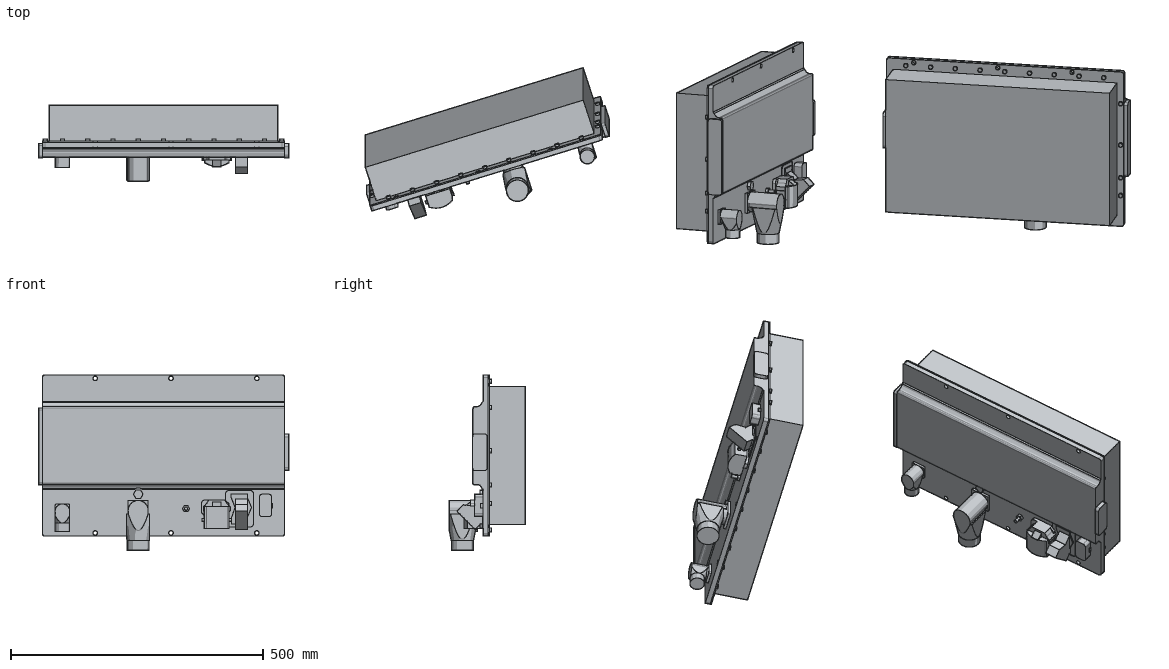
import cadquery as cq
import math


PLATE_WIDTH = 480.0
PLATE_HEIGHT = 320.0
PLATE_DEPTH = 10.0
PLATE_CORNER = 5.0
PLATE_FRONT = -PLATE_DEPTH

BULGE_BOTTOM = 102.5
BULGE_TOP = 257.0
BULGE_FRONT = -30.0
BULGE_ROUND = 2.5
COVE_DEPTH = 11.0
COVE_RISE = 8.0
COVE_FOOT = 2.5

MOUNT_HOLE_DIAMETER = 8.5
MOUNT_HOLE_X = (-135.5, 15.0, 185.0)
MOUNT_HOLE_Z = (6.5, 313.0)

PAD_LEFT = 123.0
PAD_RIGHT = 178.5
PAD_BOTTOM = 18.5
PAD_TOP = 91.0
PAD_CORNER = 7.0
PAD_HEIGHT = 1.5
PAD_FRONT = PLATE_FRONT - PAD_HEIGHT

STUD_X = 44.5
STUD_Z = 54.5
STUD_NUT_DIAMETER = 14.0
STUD_NUT_HEIGHT = 5.0
STUD_DIAMETER = 6.5
STUD_LENGTH = 17.0

PLUG_X = -50.0
PLUG_Z = 83.5
PLUG_DIAMETER = 19.0
PLUG_HEIGHT = 6.5
SPOTFACE_DIAMETER = 25.0

SHEET_THICKNESS = 2.5
BOX_WIDTH = 453.5
BOX_BOTTOM = 23.0
BOX_TOP = 297.0
BOX_BACK = 74.0
SCREW_DIAMETER = 8.5
SCREW_HEIGHT = 4.5
SCREW_ROW_PITCH = 50.0
SCREW_ROW_HALF_COUNT = 4
SCREW_ROW_Z = (12.5, 307.0)
SCREW_COLUMN_X = 234.5
SCREW_COLUMN_Z = (65.0, 101.5, 169.5, 255.0)

SIDE_COVER_BACK = -2.0
SIDE_COVER_FRONT = -31.0
LEFT_COVER_THICKNESS = 7.5
LEFT_COVER_Z = (101.5, 254.5)
LEFT_COVER_CORNER = 4.5
RIGHT_COVER_THICKNESS = 8.5
RIGHT_COVER_Z = (130.0, 203.0)
RIGHT_COVER_CORNER = 6.0

CAP_LEFT = 190.0
CAP_RIGHT = 214.5
CAP_BOTTOM = 38.5
CAP_TOP = 83.5
CAP_CORNER = 6.0
CAP_HEIGHT = 17.0
CAP_LUG_BOTTOM = 55.5
CAP_LUG_TOP = 65.0
CAP_LUG_REACH = 1.5
CAP_LUG_HEIGHT = 5.0

ELBOW_FLANGE_HEIGHT = 5.0

ROUND_X = 105.5
ROUND_TOP = 72.0
ROUND_FLANGE_HEIGHT = 6.5
ROUND_FLANGE_LEFT = 75.5
ROUND_FLANGE_TOP_LEFT = 82.5
ROUND_FLANGE_BOTTOM = 15.5
ROUND_FLANGE_TIP_HALF_WIDTH = 5.5
ROUND_FLANGE_SHOULDER_LEFT = 47.0
ROUND_FLANGE_SHOULDER_RIGHT = 40.5
BLOCK_FRONT = -35.0
BLOCK_TOP_HALF_WIDTH = 16.0
BLOCK_NECK_HALF_WIDTH = 20.5
BLOCK_NECK_Z = 64.5
BLOCK_HALF_WIDTH = 27.0
BLOCK_SIDE_Z = (50.5, 58.0)
BLOCK_BOTTOM = 48.5
SHELL_BOTTOM = 15.0
SHELL_TOP = 58.5
SHELL_BACK = -16.5
SHELL_LEFT_HALF_WIDTH = 26.0
SHELL_HALF_WIDTH = 24.5
SHELL_SHOULDER = -40.5
SHELL_ARC_HALF_WIDTH = 21.0
SHELL_ARC_START = -42.0
SHELL_FRONT = -48.0
TAB_WIDTH = 16.5
TAB_TOP = 67.5
TAB_FRONT = -48.5
PIN_REACH = 29.5
PIN_DIAMETER = 6.5
PIN_Y = -32.5
PIN_Z = 32.0

ANGLED_FLANGE_HEIGHT = 3.0
ANGLED_FLANGE_OUTLINE = [
    (135.0, 24.0), (135.0, 37.0), (142.0, 57.0), (134.0, 77.5), (134.0, 84.0),
    (166.5, 84.0), (166.5, 75.5), (174.5, 57.0), (166.5, 38.5), (166.5, 24.0),
]
ANGLED_LEFT = 142.5
ANGLED_RIGHT = 166.5
ANGLED_TOP = 73.5
ANGLED_SHOULDER_Y = -14.5
ANGLED_VALLEY = (-28.5, 59.5)
ANGLED_UPPER_LIP = (-49.0, 62.5)
ANGLED_LOWER_LIP = (-62.0, 49.5)
ANGLED_HEEL = (-26.0, 13.5)
ANGLED_BACK_BOTTOM = 28.0


def front_plane(y):
    """Plane at the given Y with local x = X and local y = Z; extrudes toward -Y."""
    return cq.Workplane("XZ", origin=(0, y, 0))


def block(x_range, y_range, z_range):
    """Box spanning three (low, high) coordinate ranges."""
    low, high = zip(x_range, y_range, z_range)
    size = [end - start for start, end in zip(low, high)]
    return cq.Workplane("XY", origin=low).box(*size, centered=False)


def rounded_plate(x_range, y_range, z_range, corner):
    """Block whose four edges along Y are rounded."""
    return block(x_range, y_range, z_range).edges("|Y").fillet(corner)


def plate_blank(y_range):
    """Slab with the full outline of the enclosure plate."""
    half_width = PLATE_WIDTH / 2
    return rounded_plate((-half_width, half_width), y_range, (0, PLATE_HEIGHT), PLATE_CORNER)


def drill_mount_holes(body):
    """Cut the mounting holes along the top and bottom edges, right through in Y."""
    points = [(x, z) for x in MOUNT_HOLE_X for z in MOUNT_HOLE_Z]
    drills = front_plane(BOX_BACK).pushPoints(points).circle(MOUNT_HOLE_DIAMETER / 2)
    return body.cut(drills.extrude(BOX_BACK - BULGE_FRONT))


def make_bulge():
    """Raised band across the plate, blended into it by a cove and a small bevel at each edge."""
    cove_y = PLATE_FRONT - COVE_FOOT
    crest_y = cove_y - COVE_DEPTH
    radius = (COVE_DEPTH ** 2 + COVE_RISE ** 2) / (2 * COVE_RISE)
    half_angle = math.asin(COVE_DEPTH / radius) / 2
    middle_y = crest_y + radius * math.sin(half_angle)
    middle_rise = radius * (1 - math.cos(half_angle))
    profile = (
        cq.Workplane("YZ", origin=(-PLATE_WIDTH / 2, 0, 0))
        .moveTo(PLATE_FRONT, BULGE_BOTTOM - COVE_RISE - COVE_FOOT)
        .lineTo(cove_y, BULGE_BOTTOM - COVE_RISE)
        .threePointArc((middle_y, BULGE_BOTTOM - middle_rise), (crest_y, BULGE_BOTTOM))
        .lineTo(BULGE_FRONT, BULGE_BOTTOM)
        .lineTo(BULGE_FRONT, BULGE_TOP)
        .lineTo(crest_y, BULGE_TOP)
        .threePointArc((middle_y, BULGE_TOP + middle_rise), (cove_y, BULGE_TOP + COVE_RISE))
        .lineTo(PLATE_FRONT, BULGE_TOP + COVE_RISE + COVE_FOOT)
        .close()
    )
    return profile.extrude(PLATE_WIDTH).faces("<Y").edges("|X").fillet(BULGE_ROUND)


def make_pad():
    """Low rounded pad under the angled connector."""
    return rounded_plate(
        (PAD_LEFT, PAD_RIGHT), (PAD_FRONT, PLATE_FRONT), (PAD_BOTTOM, PAD_TOP), PAD_CORNER
    )


def make_ground_stud():
    """Hexagonal nut with a threaded end standing out of it."""
    base = front_plane(PLATE_FRONT).center(STUD_X, STUD_Z)
    nut = base.polygon(6, STUD_NUT_DIAMETER).extrude(STUD_NUT_HEIGHT)
    return nut.union(base.circle(STUD_DIAMETER / 2).extrude(STUD_LENGTH))


def make_housing():
    body = plate_blank((PLATE_FRONT, 0)).union(make_bulge())
    spotface = front_plane(PLATE_FRONT).center(PLUG_X, PLUG_Z).circle(SPOTFACE_DIAMETER / 2)
    body = body.cut(spotface.extrude(PLATE_FRONT - BULGE_FRONT))
    body = body.union(make_pad()).union(make_ground_stud())
    return drill_mount_holes(body)


def make_rear_cover():
    half_box = BOX_WIDTH / 2
    box = block((-half_box, half_box), (SHEET_THICKNESS, BOX_BACK), (BOX_BOTTOM, BOX_TOP))
    row = range(-SCREW_ROW_HALF_COUNT, SCREW_ROW_HALF_COUNT + 1)
    screws = [(i * SCREW_ROW_PITCH, z) for i in row for z in SCREW_ROW_Z]
    screws += [(side * SCREW_COLUMN_X, z) for side in (-1, 1) for z in SCREW_COLUMN_Z]
    heads = (
        front_plane(SHEET_THICKNESS).pushPoints(screws).circle(SCREW_DIAMETER / 2).extrude(-SCREW_HEIGHT)
    )
    cover = plate_blank((0, SHEET_THICKNESS)).union(box).union(heads)
    return drill_mount_holes(cover)


def make_side_cover(x_range, z_range, corner):
    """Cover plate on one end of the housing, rounded at its four corners."""
    return block(x_range, (SIDE_COVER_FRONT, SIDE_COVER_BACK), z_range).edges("|X").fillet(corner)


def make_left_cover():
    inner = -PLATE_WIDTH / 2
    return make_side_cover((inner - LEFT_COVER_THICKNESS, inner), LEFT_COVER_Z, LEFT_COVER_CORNER)


def make_right_cover():
    inner = PLATE_WIDTH / 2
    return make_side_cover((inner, inner + RIGHT_COVER_THICKNESS), RIGHT_COVER_Z, RIGHT_COVER_CORNER)


def make_elbow(x, axis_z, barrel_radius, half_width, front, outlet_y, outlet_radius, outlet_bottom,
               cone_bottom, cone_top, cone_bottom_radius, cone_slope, flange_corner):
    """Square flange and barrel along Y, turning down through a trimmed cone into a round outlet."""
    flange_front = PLATE_FRONT - ELBOW_FLANGE_HEIGHT
    flange = rounded_plate(
        (x - barrel_radius, x + barrel_radius),
        (flange_front, PLATE_FRONT),
        (axis_z - barrel_radius, axis_z + barrel_radius),
        flange_corner,
    )
    cone_height = cone_top - cone_bottom
    top_radius = cone_bottom_radius + cone_slope * cone_height
    cone = cq.Workplane(cq.Solid.makeCone(
        cone_bottom_radius, top_radius, cone_height, pnt=cq.Vector(x, outlet_y, cone_bottom)
    ))
    cone = cone.intersect(block(
        (x - half_width, x + half_width), (front, flange_front), (cone_bottom, cone_top)
    ))
    barrel = front_plane(flange_front).center(x, axis_z).circle(barrel_radius)
    outlet = cq.Workplane("XY", origin=(x, outlet_y, outlet_bottom)).circle(outlet_radius)
    elbow = cone.union(outlet.extrude(cone_bottom - outlet_bottom))
    if axis_z > cone_top:
        neck_back = min(flange_front, outlet_y + top_radius)
        elbow = elbow.union(block(
            (x - barrel_radius, x + barrel_radius), (front, neck_back), (cone_top, axis_z)
        ))
    return elbow.union(barrel.extrude(flange_front - front)).union(flange)


def make_small_elbow():
    return make_elbow(
        x=-200.5, axis_z=49.5, barrel_radius=14.5, half_width=14.5, front=-50.0,
        outlet_y=-35.5, outlet_radius=14.5, outlet_bottom=9.0,
        cone_bottom=26.0, cone_top=49.5, cone_bottom_radius=14.5, cone_slope=0.4, flange_corner=3.0,
    )


def make_large_elbow():
    return make_elbow(
        x=-50.0, axis_z=51.0, barrel_radius=20.0, half_width=23.0, front=-77.5,
        outlet_y=-51.0, outlet_radius=22.0, outlet_bottom=-28.5,
        cone_bottom=-8.5, cone_top=44.0, cone_bottom_radius=22.5, cone_slope=0.2, flange_corner=0.5,
    )


def make_plug():
    return front_plane(PLATE_FRONT).center(PLUG_X, PLUG_Z).polygon(6, PLUG_DIAMETER).extrude(PLUG_HEIGHT)


def make_cap():
    """Rounded block with a small lug on its right-hand side."""
    cap = rounded_plate(
        (CAP_LEFT, CAP_RIGHT), (PLATE_FRONT - CAP_HEIGHT, PLATE_FRONT), (CAP_BOTTOM, CAP_TOP), CAP_CORNER
    )
    lug = block(
        (CAP_RIGHT - CAP_LUG_REACH, CAP_RIGHT + CAP_LUG_REACH),
        (PLATE_FRONT - CAP_LUG_HEIGHT, PLATE_FRONT),
        (CAP_LUG_BOTTOM, CAP_LUG_TOP),
    )
    return cap.union(lug)


def make_round_flange():
    """Base flange, rounded at its upper left corner and tapering downward to a narrow tip."""
    right = ROUND_X + SHELL_HALF_WIDTH
    corner = ROUND_FLANGE_TOP_LEFT - ROUND_FLANGE_LEFT
    inset = corner * (1 - math.sqrt(0.5))
    outline = (
        front_plane(PLATE_FRONT)
        .moveTo(ROUND_X - ROUND_FLANGE_TIP_HALF_WIDTH, ROUND_FLANGE_BOTTOM)
        .lineTo(ROUND_FLANGE_LEFT, ROUND_FLANGE_SHOULDER_LEFT)
        .lineTo(ROUND_FLANGE_LEFT, ROUND_TOP - corner)
        .threePointArc(
            (ROUND_FLANGE_LEFT + inset, ROUND_TOP - inset), (ROUND_FLANGE_TOP_LEFT, ROUND_TOP)
        )
        .lineTo(ROUND_X + BLOCK_TOP_HALF_WIDTH, ROUND_TOP)
        .lineTo(right, BLOCK_NECK_Z)
        .lineTo(right, ROUND_FLANGE_SHOULDER_RIGHT)
        .lineTo(ROUND_X + ROUND_FLANGE_TIP_HALF_WIDTH, ROUND_FLANGE_BOTTOM)
        .close()
    )
    return outline.extrude(ROUND_FLANGE_HEIGHT)


def make_round_block():
    """Shouldered block over the shell, symmetric about the connector's axis."""
    side_bottom, side_top = BLOCK_SIDE_Z
    right_side = [
        (BLOCK_TOP_HALF_WIDTH, ROUND_TOP),
        (BLOCK_NECK_HALF_WIDTH, BLOCK_NECK_Z),
        (BLOCK_HALF_WIDTH, side_top),
        (BLOCK_HALF_WIDTH, side_bottom),
        (SHELL_HALF_WIDTH, BLOCK_BOTTOM),
    ]
    left_side = [(-x, z) for x, z in reversed(right_side)]
    outline = front_plane(PLATE_FRONT).center(ROUND_X, 0).polyline(right_side + left_side).close()
    return outline.extrude(PLATE_FRONT - BLOCK_FRONT)


def make_round_shell():
    """D-shaped shell with a bowed front, standing clear of the plate."""
    outline = (
        cq.Workplane("XY", origin=(ROUND_X, 0, SHELL_BOTTOM))
        .moveTo(-SHELL_LEFT_HALF_WIDTH, SHELL_BACK)
        .lineTo(-SHELL_LEFT_HALF_WIDTH, BLOCK_FRONT)
        .lineTo(-SHELL_HALF_WIDTH, BLOCK_FRONT)
        .lineTo(-SHELL_HALF_WIDTH, SHELL_SHOULDER)
        .lineTo(-SHELL_ARC_HALF_WIDTH, SHELL_ARC_START)
        .threePointArc((0, SHELL_FRONT), (SHELL_ARC_HALF_WIDTH, SHELL_ARC_START))
        .lineTo(SHELL_HALF_WIDTH, SHELL_SHOULDER)
        .lineTo(SHELL_HALF_WIDTH, SHELL_BACK)
        .close()
    )
    return outline.extrude(SHELL_TOP - SHELL_BOTTOM)


def make_round_tab():
    """Ramp in front of the block, sloping down to the shell's front."""
    outline = (
        cq.Workplane("YZ", origin=(ROUND_X - TAB_WIDTH / 2, 0, 0))
        .moveTo(BLOCK_FRONT, SHELL_TOP)
        .lineTo(BLOCK_FRONT, TAB_TOP)
        .lineTo(TAB_FRONT, SHELL_TOP)
        .close()
    )
    return outline.extrude(TAB_WIDTH)


def make_round_connector():
    pin = cq.Workplane("YZ", origin=(ROUND_X - PIN_REACH, PIN_Y, PIN_Z)).circle(PIN_DIAMETER / 2)
    body = make_round_flange().union(make_round_block()).union(make_round_shell())
    body = body.union(make_round_tab()).union(pin.extrude(2 * PIN_REACH))
    return body.cut(make_pad())


def make_angled_connector():
    """Chevron-shaped flange carrying a body whose square end points forward and up."""
    flange = front_plane(PAD_FRONT).polyline(ANGLED_FLANGE_OUTLINE).close().extrude(ANGLED_FLANGE_HEIGHT)
    profile = [
        (PAD_FRONT, ANGLED_TOP),
        (ANGLED_SHOULDER_Y, ANGLED_TOP),
        ANGLED_VALLEY,
        ANGLED_UPPER_LIP,
        ANGLED_LOWER_LIP,
        ANGLED_HEEL,
        (PAD_FRONT, ANGLED_BACK_BOTTOM),
    ]
    body = cq.Workplane("YZ", origin=(ANGLED_LEFT, 0, 0)).polyline(profile).close()
    return flange.union(body.extrude(ANGLED_RIGHT - ANGLED_LEFT))


housing = make_housing()
rear_cover = make_rear_cover()
left_cover = make_left_cover()
right_cover = make_right_cover()
small_elbow = make_small_elbow()
large_elbow = make_large_elbow()
plug = make_plug()
cap = make_cap()
round_connector = make_round_connector()
angled_connector = make_angled_connector()

result = cq.Compound.makeCompound([
    housing.val(),
    rear_cover.val(),
    left_cover.val(),
    right_cover.val(),
    small_elbow.val(),
    large_elbow.val(),
    plug.val(),
    cap.val(),
    round_connector.val(),
    angled_connector.val(),
])